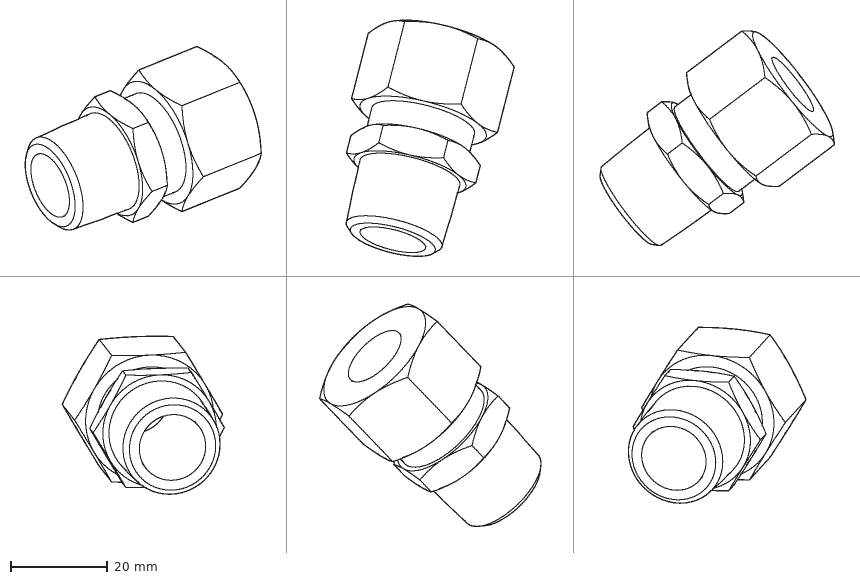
import cadquery as cq
import math

length = 43.7
lead_in_end = 1.2
gauge_plane = 8.2
thread_end = 15.05
small_hex_end = 21.05
nut_start = 26.65

bore_diameter = 14.0
end_face_diameter = 18.2
thread_tip_diameter = 20.5
gauge_diameter = 21.1
thread_root_diameter = 21.35
collar_diameter = 22.0
small_hex_flats = 23.95
nut_flats = 27.0
corner_chamfer_angle = math.radians(30)


def revolve_about_y(profile):
    """Revolve a closed (radius, y) profile around the Y axis."""
    return cq.Workplane("XY").polyline(profile).close().revolve(360, (0, 0), (0, 1))


def chamfered_hex(flats, start, end):
    """Hexagonal prism along Y, corners on the X axis, coned at both ends."""
    corner_diameter = flats / math.cos(math.radians(30))
    flat_radius = flats / 2
    corner_radius = corner_diameter / 2
    drop = (corner_radius - flat_radius) * math.tan(corner_chamfer_angle)
    prism = (
        cq.Workplane("XZ", origin=(0, start, 0))
        .polygon(6, corner_diameter)
        .extrude(start - end)
    )
    envelope = revolve_about_y([
        (0, start),
        (flat_radius, start),
        (corner_radius, start + drop),
        (corner_radius, end - drop),
        (flat_radius, end),
        (0, end),
    ])
    return prism.intersect(envelope)


body = revolve_about_y([
    (0, 0),
    (end_face_diameter / 2, 0),
    (thread_tip_diameter / 2, lead_in_end),
    (gauge_diameter / 2, gauge_plane),
    (thread_root_diameter / 2, thread_end),
    (collar_diameter / 2, thread_end),
    (collar_diameter / 2, nut_start),
    (0, nut_start),
])

small_hex = chamfered_hex(small_hex_flats, thread_end, small_hex_end)
nut = chamfered_hex(nut_flats, nut_start, length)

bore = cq.Workplane("XZ").circle(bore_diameter / 2).extrude(-length)

result = body.union(small_hex).union(nut).cut(bore)